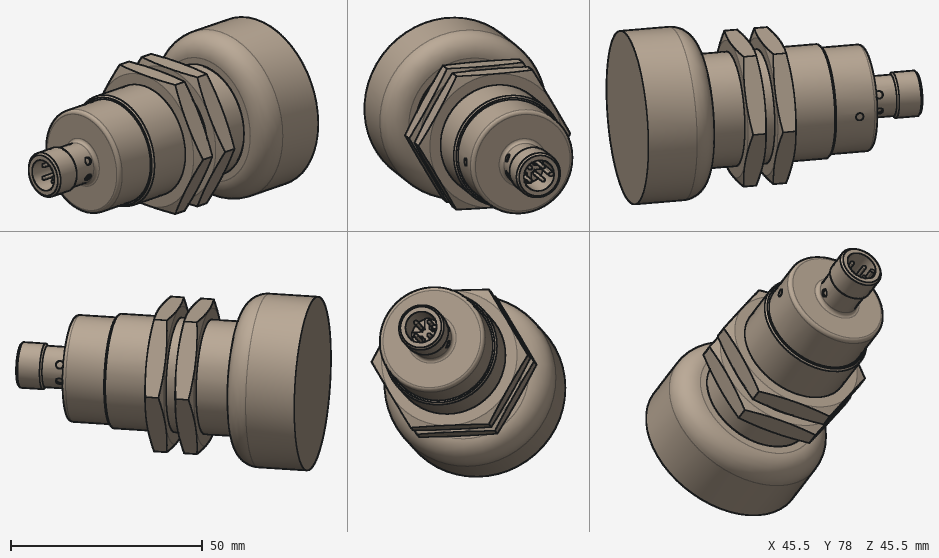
import cadquery as cq
import math


TOTAL_LENGTH = 78.0
HEAD_DIAMETER = 45.5
HEAD_LENGTH = 19.0
HEAD_ROUND = 6.0

BARREL_DIAMETER = 30.0
BARREL_REAR_Y = 25.4
BARREL_CHAMFER = 0.51

CAP_DIAMETER = 28.0
CAP_REAR_Y = 14.05
EDGE_ROUND = 1.0

STEM_DIAMETER = 10.9
RING_DIAMETER = 12.0
RING_LENGTH = 6.95
RING_CHAMFER = (RING_DIAMETER - STEM_DIAMETER) / 2

SOCKET_DIAMETER = 8.3
SOCKET_DEPTH = 9.0
CROSS_WIDTH = 1.2
CROSS_HUB_DIAMETER = 3.0
CROSS_HEIGHT = 0.8
KEY_WIDTH = 1.0
KEY_OFFSET = 3.35
KEY_TIP_Y = 0.5
PIN_DIAMETER = 1.0
PIN_CIRCLE_DIAMETER = 5.0
PIN_OFFSET = PIN_CIRCLE_DIAMETER / 2 * math.sqrt(0.5)
PIN_TIP_Y = 1.55
PIN_TIP_ROUND = 0.4

WINDOW_DIAMETER = 2.0
STEM_WINDOW_Y = 11.55
STEM_WINDOW_ANGLE = 25.0
STEM_WINDOW_FLOOR_DIAMETER = 9.8
CAP_WINDOW_Y = 19.0
CAP_WINDOW_DEPTH = 0.1

HEX_SIDES = 6
NUT_FLATS = 36.0
NUT_THICKNESS = 5.0
NUT_CHAMFER_DROP = 0.8
NUT_PITCH = 8.0
REAR_NUT_Y = 37.1
NUT_COUNT = 2


def cylinder_along_y(diameter, y_start, y_end, x=0.0, z=0.0):
    """Cylinder parallel to Y between two Y positions."""
    return cq.Workplane(
        cq.Solid.makeCylinder(diameter / 2, y_end - y_start, cq.Vector(x, y_start, z), cq.Vector(0, 1, 0))
    )


def turned_body():
    """Head, barrel, cap and connector as one turned profile of (radius, y)."""
    head_radius = HEAD_DIAMETER / 2
    barrel_radius = BARREL_DIAMETER / 2
    cap_radius = CAP_DIAMETER / 2
    stem_radius = STEM_DIAMETER / 2
    ring_radius = RING_DIAMETER / 2
    head_rear_y = TOTAL_LENGTH - HEAD_LENGTH
    arc_mid = 1 - math.sqrt(0.5)

    profile = (
        cq.Workplane("XY")
        .moveTo(0, 0)
        .lineTo(ring_radius - RING_CHAMFER, 0)
        .lineTo(ring_radius, RING_CHAMFER)
        .lineTo(ring_radius, RING_LENGTH - RING_CHAMFER)
        .lineTo(stem_radius, RING_LENGTH)
        .lineTo(stem_radius, CAP_REAR_Y - EDGE_ROUND)
        .threePointArc(
            (stem_radius + EDGE_ROUND * arc_mid, CAP_REAR_Y - EDGE_ROUND * arc_mid),
            (stem_radius + EDGE_ROUND, CAP_REAR_Y),
        )
        .lineTo(cap_radius - EDGE_ROUND, CAP_REAR_Y)
        .threePointArc(
            (cap_radius - EDGE_ROUND * arc_mid, CAP_REAR_Y + EDGE_ROUND * arc_mid),
            (cap_radius, CAP_REAR_Y + EDGE_ROUND),
        )
        .lineTo(cap_radius, BARREL_REAR_Y)
        .lineTo(barrel_radius - BARREL_CHAMFER, BARREL_REAR_Y)
        .lineTo(barrel_radius, BARREL_REAR_Y + BARREL_CHAMFER)
        .lineTo(barrel_radius, head_rear_y - BARREL_CHAMFER)
        .lineTo(barrel_radius - BARREL_CHAMFER, head_rear_y)
        .lineTo(head_radius - HEAD_ROUND, head_rear_y)
        .threePointArc(
            (head_radius - HEAD_ROUND * arc_mid, head_rear_y + HEAD_ROUND * arc_mid),
            (head_radius, head_rear_y + HEAD_ROUND),
        )
        .lineTo(head_radius, TOTAL_LENGTH)
        .lineTo(0, TOTAL_LENGTH)
        .close()
    )
    return profile.revolve(360, (0, 0, 0), (0, 1, 0))


def coding_key():
    """Rib on the +X socket wall with a rounded nose towards the axis."""
    key_length = SOCKET_DEPTH - KEY_TIP_Y
    nose = cylinder_along_y(KEY_WIDTH, KEY_TIP_Y, SOCKET_DEPTH, x=KEY_OFFSET)
    web = (
        cq.Workplane("XY", origin=(KEY_OFFSET, KEY_TIP_Y, 0))
        .box(SOCKET_DIAMETER / 2 - KEY_OFFSET, key_length, KEY_WIDTH, centered=(False, False, True))
    )
    return nose.union(web)


def socket_cavity():
    """Round socket less the cross on its floor, the key on its wall and the contact pins."""
    cavity = cylinder_along_y(SOCKET_DIAMETER, 0, SOCKET_DEPTH)

    cross_y = SOCKET_DEPTH - CROSS_HEIGHT / 2
    for arm_size in (
        (SOCKET_DIAMETER, CROSS_HEIGHT, CROSS_WIDTH),
        (CROSS_WIDTH, CROSS_HEIGHT, SOCKET_DIAMETER),
    ):
        cavity = cavity.cut(cq.Workplane("XY").box(*arm_size).translate((0, cross_y, 0)))
    cavity = cavity.cut(cylinder_along_y(CROSS_HUB_DIAMETER, SOCKET_DEPTH - CROSS_HEIGHT, SOCKET_DEPTH))

    cavity = cavity.cut(coding_key())

    for x_side in (-1, 1):
        for z_side in (-1, 1):
            pin = cylinder_along_y(
                PIN_DIAMETER, PIN_TIP_Y, SOCKET_DEPTH, x=x_side * PIN_OFFSET, z=z_side * PIN_OFFSET
            )
            cavity = cavity.cut(pin.faces("<Y").edges().fillet(PIN_TIP_ROUND))
    return cavity


def window_pocket(y, angle, floor_diameter, outer_diameter):
    """Radial round pocket with a floor curved about Y; the angle runs from -X towards +Z."""
    direction = cq.Vector(-math.cos(math.radians(angle)), 0, math.sin(math.radians(angle)))
    drill = cq.Workplane(
        cq.Solid.makeCylinder(WINDOW_DIAMETER / 2, outer_diameter / 2, cq.Vector(0, y, 0), direction)
    )
    core = cylinder_along_y(floor_diameter, y - WINDOW_DIAMETER, y + WINDOW_DIAMETER)
    return drill.cut(core)


def make_sensor():
    """Turned body with its socket, four windows round the stem and one window on the cap."""
    sensor = turned_body().cut(socket_cavity())

    for side_angle in (0, 180):
        for tilt in (-STEM_WINDOW_ANGLE, STEM_WINDOW_ANGLE):
            sensor = sensor.cut(
                window_pocket(STEM_WINDOW_Y, side_angle + tilt, STEM_WINDOW_FLOOR_DIAMETER, RING_DIAMETER)
            )

    cap_window_floor = CAP_DIAMETER - 2 * CAP_WINDOW_DEPTH
    return sensor.cut(window_pocket(CAP_WINDOW_Y, 0, cap_window_floor, BARREL_DIAMETER))


def make_nut(rear_y):
    """Hexagon nut, corners on +X and -X, both faces bevelled down to the circle that touches the flats."""
    flat_radius = NUT_FLATS / 2
    corner_radius = flat_radius / math.cos(math.pi / HEX_SIDES)
    bore_radius = BARREL_DIAMETER / 2
    front_y = rear_y + NUT_THICKNESS

    hexagon = (
        cq.Workplane("XZ", origin=(0, front_y, 0))
        .polygon(HEX_SIDES, 2 * corner_radius)
        .extrude(NUT_THICKNESS)
    )
    bevelled_ring = (
        cq.Workplane("XY")
        .polyline(
            [
                (bore_radius, rear_y),
                (flat_radius, rear_y),
                (corner_radius, rear_y + NUT_CHAMFER_DROP),
                (corner_radius, front_y - NUT_CHAMFER_DROP),
                (flat_radius, front_y),
                (bore_radius, front_y),
            ]
        )
        .close()
        .revolve(360, (0, 0, 0), (0, 1, 0))
    )
    return hexagon.intersect(bevelled_ring)


sensor = make_sensor()
nuts = [make_nut(REAR_NUT_Y + index * NUT_PITCH) for index in range(NUT_COUNT)]

result = cq.Compound.makeCompound([sensor.val(), *[nut.val() for nut in nuts]])